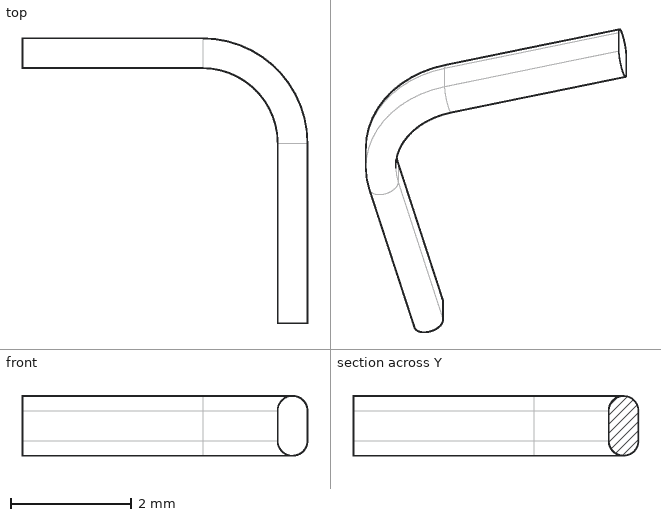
import cadquery as cq
import math

strip_thickness = 0.5
strip_height = 1.0
leg_length = 3.0
bend_radius = 1.5

bend_center = (leg_length, -bend_radius)
bend_middle = (
    bend_center[0] + bend_radius * math.sin(math.pi / 4),
    bend_center[1] + bend_radius * math.cos(math.pi / 4),
)
bend_end = (bend_center[0] + bend_radius, bend_center[1])


def centreline():
    """Two straight legs joined by a tangent quarter-circle bend."""
    return (
        cq.Workplane("XY")
        .lineTo(leg_length, 0)
        .threePointArc(bend_middle, bend_end)
        .line(0, -leg_length)
    )


def bent_strip():
    """Strip with fully rounded top and bottom edges, swept along the centreline."""
    upright_angle = 90
    return (
        cq.Workplane("YZ")
        .slot2D(strip_height, strip_thickness, upright_angle)
        .sweep(centreline())
    )


result = bent_strip()